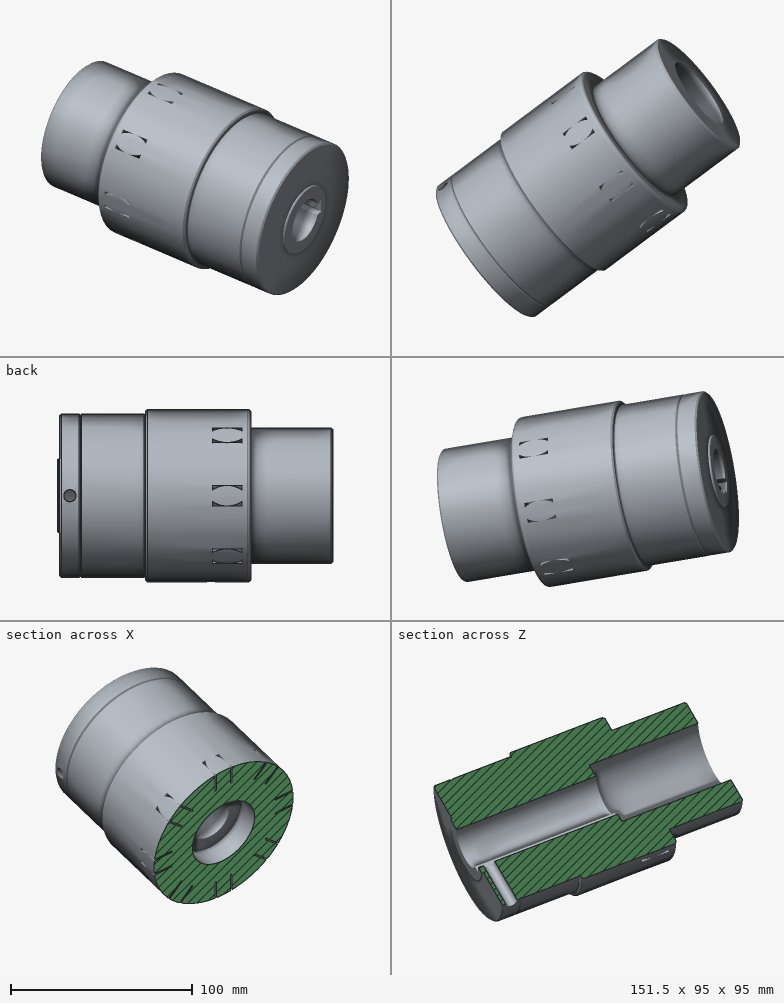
import cadquery as cq
import math

total_length = 151.5
hub_length = 45.0
sleeve_length = 58.0
collar_end = 150.5

hub_radius = 37.3
sleeve_diameter = 95.0
sleeve_radius = sleeve_diameter / 2
collar_radius = 45.0

hub_chamfer = 0.9
sleeve_front_fillet = 2.0
sleeve_rear_chamfer = 0.9
collar_chamfer = 0.9

groove_start = 138.3
groove_width = 1.5
groove_depth = 0.8

rear_boss_radius = 20.3
rear_boss_chamfer = 0.5

front_bore_radius = 21.0
rear_bore_radius = 12.5
keyway_width = 8.2
keyway_reach = 15.6

set_screw_x = 144.8
set_screw_diameter = 6.7

cushion_count = 8
window_start = 50.0
window_length = 16.4
window_width = 11.4
cushion_end_width = 6.4
pocket_floor_radius = 35.6


def revolved_body():
    sleeve_start = hub_length
    sleeve_end = hub_length + sleeve_length
    groove_middle = groove_start + groove_width / 2
    groove_end = groove_start + groove_width
    arc_shift = sleeve_front_fillet * (1 - math.sqrt(0.5))
    return (
        cq.Workplane("XY")
        .moveTo(0, 0)
        .lineTo(0, hub_radius - hub_chamfer)
        .lineTo(hub_chamfer, hub_radius)
        .lineTo(sleeve_start, hub_radius)
        .lineTo(sleeve_start, sleeve_radius - sleeve_front_fillet)
        .threePointArc(
            (sleeve_start + arc_shift, sleeve_radius - arc_shift),
            (sleeve_start + sleeve_front_fillet, sleeve_radius),
        )
        .lineTo(sleeve_end - sleeve_rear_chamfer, sleeve_radius)
        .lineTo(sleeve_end, sleeve_radius - sleeve_rear_chamfer)
        .lineTo(sleeve_end, collar_radius - collar_chamfer)
        .lineTo(sleeve_end + collar_chamfer, collar_radius)
        .lineTo(groove_start, collar_radius)
        .lineTo(groove_middle, collar_radius - groove_depth)
        .lineTo(groove_end, collar_radius)
        .lineTo(collar_end - collar_chamfer, collar_radius)
        .lineTo(collar_end, collar_radius - collar_chamfer)
        .lineTo(collar_end, rear_boss_radius)
        .lineTo(total_length - rear_boss_chamfer, rear_boss_radius)
        .lineTo(total_length, rear_boss_radius - rear_boss_chamfer)
        .lineTo(total_length, 0)
        .close()
        .revolve(360, (0, 0, 0), (1, 0, 0))
    )


def front_bore():
    bore_depth = window_start + window_length
    return cq.Workplane("YZ").circle(front_bore_radius).extrude(bore_depth)


def rear_bore_with_keyway():
    bore = cq.Workplane("YZ").circle(rear_bore_radius).extrude(total_length)
    keyway = (
        cq.Workplane("YZ")
        .center(keyway_reach / 2, 0)
        .rect(keyway_reach, keyway_width)
        .extrude(total_length)
    )
    return bore.union(keyway)


def set_screw_hole():
    return (
        cq.Workplane("XZ")
        .center(set_screw_x, 0)
        .circle(set_screw_diameter / 2)
        .extrude(-sleeve_radius)
    )


def cushion_gaps():
    """Gaps at the corners of one window, on the -Y side, beside the bulged cushion flanks."""
    window_end = window_start + window_length
    window_middle = window_start + window_length / 2
    half_window = window_width / 2
    half_end = cushion_end_width / 2
    window = (
        cq.Workplane("XZ")
        .center(window_middle, 0)
        .rect(window_length, window_width)
        .extrude(sleeve_radius)
    )
    cushion = (
        cq.Workplane("XZ")
        .moveTo(window_start, -half_end)
        .threePointArc((window_middle, -half_window), (window_end, -half_end))
        .lineTo(window_end, half_end)
        .threePointArc((window_middle, half_window), (window_start, half_end))
        .close()
        .extrude(sleeve_radius)
    )
    core = cq.Workplane("YZ").circle(pocket_floor_radius).extrude(total_length)
    return window.cut(cushion).cut(core)


result = (
    revolved_body()
    .cut(front_bore())
    .cut(rear_bore_with_keyway())
    .cut(set_screw_hole())
)

gaps = cushion_gaps()
for index in range(cushion_count):
    angle = index * 360 / cushion_count
    result = result.cut(gaps.rotate((0, 0, 0), (1, 0, 0), angle))